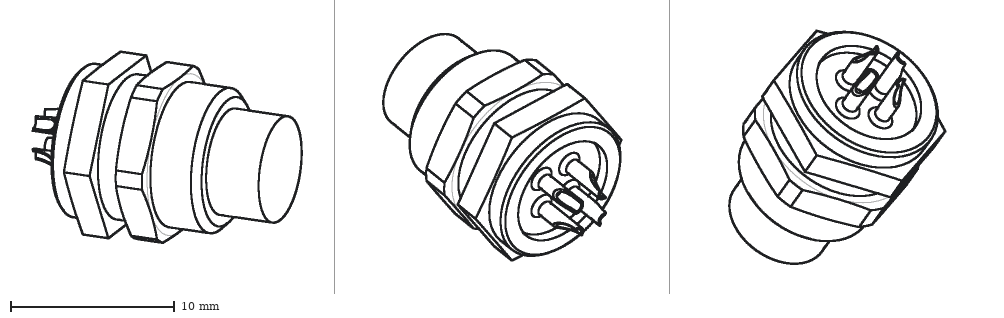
import cadquery as cq
import math


total_length = 16.0
flange_start = 2.7
hex_start = 4.0
hex_end = 5.8
nut_start = 7.3
nut_end = 9.3
body_end = 12.5

flange_diameter = 9.5
flange_chamfer = 0.2
body_diameter = 9.0
body_chamfer = 0.5
barrel_diameter = 6.6
recess_diameter = 7.05
recess_depth = 0.7

across_flats = 10.0
across_corners = across_flats / math.cos(math.radians(30))
hex_relief = 0.08
nut_corner_diameter = 11.0
nut_chamfer = 0.13

pin_pitch = 2.2
pin_diameter = 1.0
collar_diameter = 1.6
collar_height = 0.3
cup_bore_diameter = 0.7
cup_bore_depth = 1.92
cup_point_angle = 118.0
scoop_length = 1.73
scoop_level = -0.16
scoop_tilt = 32.0

recess_floor = flange_start + recess_depth


def cylinder(diameter, start, end):
    """Solid cylinder on the X axis between two stations."""
    return cq.Workplane("YZ").workplane(offset=start).circle(diameter / 2).extrude(end - start)


def revolved(profile):
    """Revolve a list of (x, radius) points about the X axis."""
    return cq.Workplane("XY").polyline(profile).close().revolve(360, (0, 0, 0), (1, 0, 0))


def hexagon(start, end):
    """Sharp-cornered hexagonal prism on the X axis."""
    return cq.Workplane("YZ").workplane(offset=start).polygon(6, across_corners).extrude(end - start)


def make_body():
    """Flange, threaded body and barrel, with the round recess in the flange face."""
    flange = cylinder(flange_diameter, flange_start, hex_start).faces("<X").chamfer(flange_chamfer)
    thread = cylinder(body_diameter, hex_start, body_end).faces(">X").chamfer(body_chamfer)
    barrel = cylinder(barrel_diameter, body_end, total_length)
    recess = cylinder(recess_diameter, flange_start, recess_floor)
    return flange.union(thread).union(barrel).cut(recess)


def make_fixed_hex():
    """Hexagon behind the flange; its -X face slopes gently back towards the corners."""
    envelope = revolved([
        (hex_start, 0),
        (hex_start, flange_diameter / 2),
        (hex_start + hex_relief, across_corners / 2),
        (hex_end, across_corners / 2),
        (hex_end, 0),
    ])
    return hexagon(hex_start, hex_end).intersect(envelope)


def make_nut():
    """Hexagonal nut with rounded corners and a shallow conical chamfer on both ends."""
    corner_radius = nut_corner_diameter / 2
    envelope = revolved([
        (nut_start, 0),
        (nut_start, across_flats / 2),
        (nut_start + nut_chamfer, corner_radius),
        (nut_end - nut_chamfer, corner_radius),
        (nut_end, across_flats / 2),
        (nut_end, 0),
    ])
    return hexagon(nut_start, nut_end).intersect(envelope)


def make_pin():
    """Solder-cup pin on the X axis, scooped open towards +Y, with a conical collar at its root."""
    pin_radius = pin_diameter / 2
    pin = revolved([
        (0, 0),
        (0, pin_radius),
        (recess_floor - collar_height, pin_radius),
        (recess_floor, collar_diameter / 2),
        (recess_floor, 0),
    ])

    bore_radius = cup_bore_diameter / 2
    point_length = bore_radius / math.tan(math.radians(cup_point_angle / 2))
    bore = revolved([
        (0, 0),
        (0, bore_radius),
        (cup_bore_depth, bore_radius),
        (cup_bore_depth + point_length, 0),
    ])

    scoop_rise = pin_radius - scoop_level
    scoop_radius = (scoop_length**2 + scoop_rise**2) / (2 * scoop_rise)
    half_angle = math.asin(scoop_length / scoop_radius) / 2
    arc_middle = (
        scoop_radius * math.sin(half_angle),
        scoop_level + scoop_radius * (1 - math.cos(half_angle)),
    )
    scoop = (
        cq.Workplane("XY")
        .moveTo(0, scoop_level)
        .threePointArc(arc_middle, (scoop_length, pin_radius))
        .lineTo(scoop_length, pin_diameter)
        .lineTo(0, pin_diameter)
        .close()
        .extrude(pin_diameter, both=True)
    )
    return pin.cut(bore).cut(scoop)


result = make_body().union(make_fixed_hex()).union(make_nut())

upper_pin = make_pin().rotate((0, 0, 0), (1, 0, 0), scoop_tilt)
upper_pin = upper_pin.translate((0, pin_pitch / 2, pin_pitch / 2))
upper_pair = upper_pin.union(upper_pin.mirror("XZ"))
result = result.union(upper_pair).union(upper_pair.mirror("XY"))